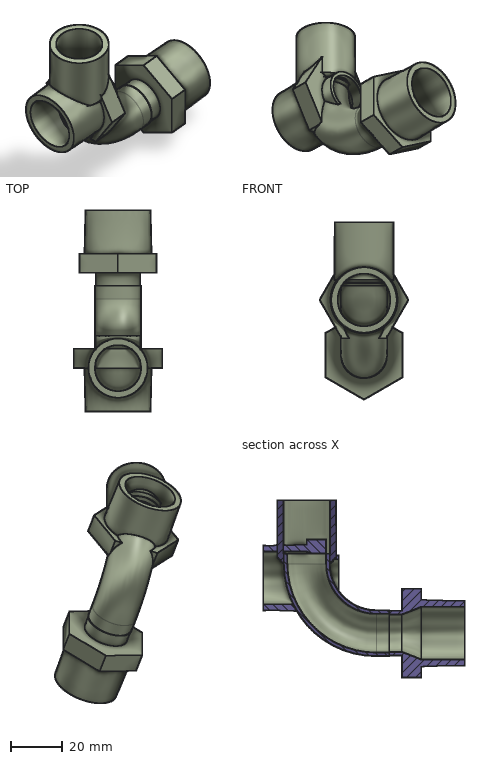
import cadquery as cq
import math


nipple_length = 16.95
nipple_end_diameter = 25.4
nipple_root_diameter = 26.2
nipple_bore = 20.5
hex_thickness = 7.5
hex_flats = 30.0
hex_corners = hex_flats / math.cos(math.radians(30))
stub_length = 5.0
stub_diameter = 17.5
stub_bore = 14.5

elbow_diameter = 18.0
elbow_bore = 15.0
bend_radius = 27.0
leg_length = 5.0
riser_leg_length = 4.0

riser_diameter = 23.0
collar_diameter = 20.5
collar_cone_height = 1.0
collar_band_height = 0.3
riser_base_z = bend_radius + 2 * collar_cone_height + collar_band_height
overall_height = 69.15
riser_top_z = overall_height - hex_corners / 2

rear_mouth_y = leg_length + stub_length + hex_thickness + nipple_length
front_mouth_y = -bend_radius - nipple_length
front_axis_z = 21.5


def make_hexagon(rotation):
    """Hexagonal collar of a fitting whose mouth is at Z = 0."""
    return (
        cq.Workplane("XY")
        .workplane(offset=nipple_length)
        .polygon(6, hex_corners)
        .extrude(hex_thickness)
        .rotate((0, 0, 0), (0, 0, 1), rotation)
    )


def make_fitting(rotation):
    """Hollow fitting along +Z, mouth at Z = 0, bore narrowing through the hexagon."""
    hex_end = nipple_length + hex_thickness
    fitting_end = hex_end + stub_length
    nipple_and_stub = (
        cq.Workplane("XZ")
        .moveTo(0, 0)
        .lineTo(nipple_end_diameter / 2, 0)
        .lineTo(nipple_root_diameter / 2, nipple_length)
        .lineTo(stub_diameter / 2, nipple_length)
        .lineTo(stub_diameter / 2, fitting_end)
        .lineTo(0, fitting_end)
        .close()
        .revolve(360, (0, 0, 0), (0, 1, 0))
    )
    bore = (
        cq.Workplane("XZ")
        .moveTo(0, 0)
        .lineTo(nipple_bore / 2, 0)
        .lineTo(nipple_bore / 2, nipple_length)
        .lineTo(stub_bore / 2, hex_end)
        .lineTo(stub_bore / 2, fitting_end)
        .lineTo(0, fitting_end)
        .close()
        .revolve(360, (0, 0, 0), (0, 1, 0))
    )
    return nipple_and_stub.union(make_hexagon(rotation)).cut(bore)


def place_front(shape):
    """Turn a +Z shape to point along +Y and move it to the front mouth."""
    return shape.rotate((0, 0, 0), (1, 0, 0), -90).translate((0, front_mouth_y, front_axis_z))


def place_rear(shape):
    """Turn a +Z shape to point along -Y and move it to the rear mouth."""
    return shape.rotate((0, 0, 0), (1, 0, 0), 90).translate((0, rear_mouth_y, 0))


def make_elbow_rod(diameter):
    """Solid round bar: horizontal leg, quarter bend, vertical leg."""
    horizontal_leg = cq.Workplane("XZ").circle(diameter / 2).extrude(-leg_length)
    bend = (
        cq.Workplane("XZ")
        .circle(diameter / 2)
        .revolve(90, (0.8, bend_radius, 0), (-0.8, bend_radius, 0))
    )
    vertical_leg = (
        cq.Workplane("XY", origin=(0, -bend_radius, bend_radius))
        .circle(diameter / 2)
        .extrude(riser_leg_length)
    )
    return horizontal_leg.union(bend).union(vertical_leg)


def make_riser_tube():
    """Tube that fits over the vertical elbow leg, with its collar at the bottom."""
    band_bottom_z = bend_radius + collar_cone_height
    band_top_z = band_bottom_z + collar_band_height
    return (
        cq.Workplane("XZ")
        .moveTo(elbow_diameter / 2, bend_radius)
        .lineTo(collar_diameter / 2, band_bottom_z)
        .lineTo(collar_diameter / 2, band_top_z)
        .lineTo(riser_diameter / 2, riser_base_z)
        .lineTo(riser_diameter / 2, riser_top_z)
        .lineTo(elbow_diameter / 2, riser_top_z)
        .close()
        .revolve(360, (0, 0, 0), (0, 1, 0))
        .translate((0, -bend_radius, 0))
    )


elbow_rod = make_elbow_rod(elbow_diameter)
elbow = elbow_rod.cut(make_elbow_rod(elbow_bore))

above_collar = (
    cq.Workplane("XY", origin=(0, -bend_radius, riser_base_z))
    .rect(2 * hex_corners, 2 * hex_corners)
    .extrude(hex_corners)
)
hexagon_notch = place_front(make_hexagon(0)).intersect(above_collar)
riser = make_riser_tube().cut(hexagon_notch)

rear_fitting = place_rear(make_fitting(30))
front_fitting = place_front(make_fitting(0)).cut(elbow_rod).cut(riser)

result = cq.Compound.makeCompound([
    rear_fitting.val(),
    elbow.val(),
    riser.val(),
    front_fitting.val(),
])